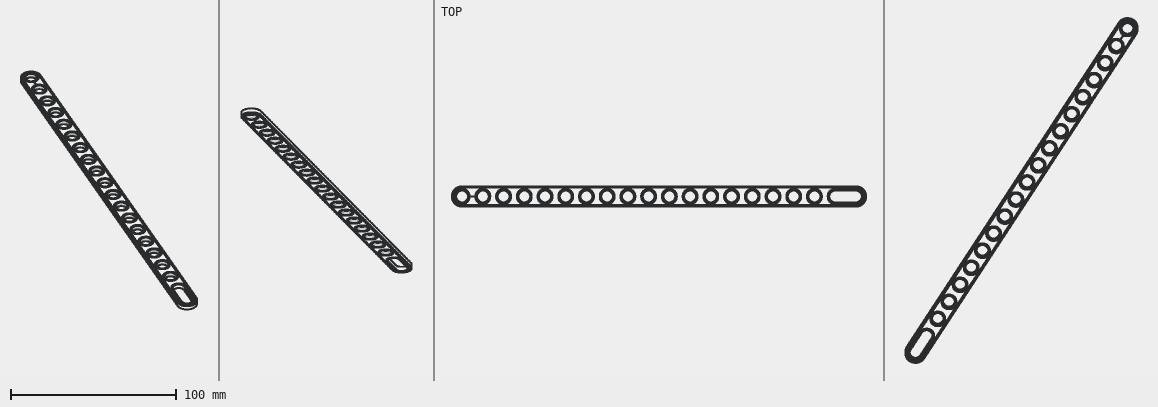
import cadquery as cq

length = 250.0
pitch = 12.5
width = pitch
end_center_x = (length - width) / 2

floor_thickness = 2.8
relief_height = 0.138
thickness = floor_thickness + 2 * relief_height
edge_chamfer = 0.3
rim_inner_width = 10.2

hole_count = 18
hole_diameter = 7.0
ring_outer_diameter = 9.2
ring_inner_margin = 0.3
ring_inner_diameter = hole_diameter + 2 * ring_inner_margin
slot_center_x = end_center_x - pitch / 2
hole_centers = [(-end_center_x + i * pitch, 0) for i in range(hole_count)]

bar_width = 0.2
bar_center_x = -end_center_x + pitch / 2
bar_length = pitch - (ring_inner_diameter + ring_outer_diameter) / 2


def rounded_strip():
    """Round-ended strip, centred on the origin, with chamfered outer edges."""
    strip = cq.Workplane("XY").slot2D(length, width).extrude(thickness / 2, both=True)
    return strip.faces("|Z").edges().chamfer(edge_chamfer)


def openings(diameter):
    """Columns through the strip at every hole and at the slot, all of one diameter."""
    holes = cq.Workplane("XY").pushPoints(hole_centers).circle(diameter / 2)
    slot = cq.Workplane("XY").center(slot_center_x, 0).slot2D(pitch + diameter, diameter)
    return holes.extrude(thickness, both=True).union(slot.extrude(thickness, both=True))


def raised_rings():
    """Low rings around the holes and the slot."""
    return openings(ring_outer_diameter).cut(openings(ring_inner_diameter))


def raised_bar():
    """Low bar between the first two rings."""
    bar = cq.Workplane("XY").center(bar_center_x, 0).rect(bar_length, bar_width)
    return bar.extrude(thickness, both=True)


def face_recess():
    """Shallow recess of the upper face, inside the rim and around the raised shapes."""
    floor = cq.Workplane("XY").workplane(offset=floor_thickness / 2)
    inside_rim = floor.slot2D(2 * end_center_x + rim_inner_width, rim_inner_width).extrude(thickness)
    return inside_rim.cut(raised_rings()).cut(raised_bar())


upper_recess = face_recess()
lower_recess = upper_recess.mirror("XY")
result = rounded_strip().cut(upper_recess).cut(lower_recess).cut(openings(hole_diameter))